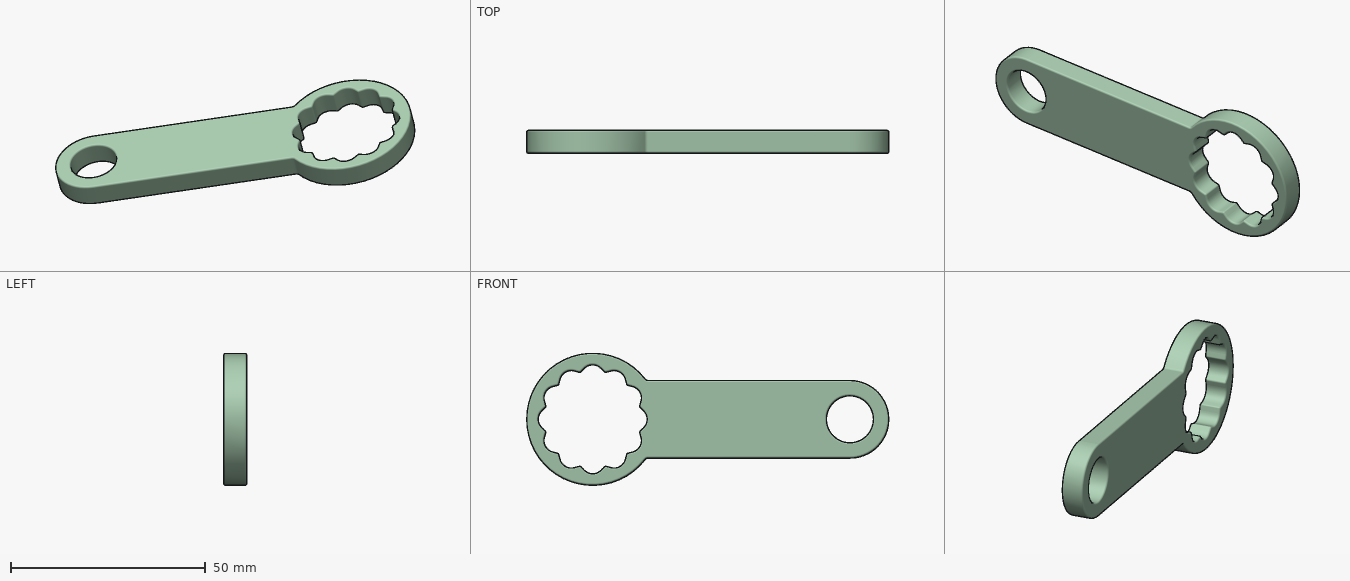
import cadquery as cq
import math

length = 93.1
thickness = 6.0
head_diameter = 34.0
handle_width = 20.0
edge_fillet = 0.5
neck_fillet = 1.0

square_count = 3
socket_tip_radius = 14.0
socket_corner_radius = 3.0
socket_ridge_radius = 0.5

hanging_hole_diameter = 12.0

handle_end_x = length - head_diameter / 2 - handle_width / 2

sharp_corner_radius = socket_tip_radius + (math.sqrt(2) - 1) * socket_corner_radius
socket_square_side = sharp_corner_radius * math.sqrt(2)

point_step = 90 / square_count
ridge_to_side_normal = math.radians(45 - point_step / 2)
sharp_ridge_radius = socket_square_side / 2 / math.cos(ridge_to_side_normal)
ridge_selection_margin = 0.1


def extruded(sketch):
    """Extrude a sketch drawn on the XZ plane, with the thickness centred on Y = 0."""
    return sketch.extrude(thickness / 2, both=True)


def make_body():
    """Round head joined to a straight handle with a full-round end."""
    head = extruded(cq.Workplane("XZ").circle(head_diameter / 2))
    handle = extruded(cq.Workplane("XZ").center(handle_end_x / 2, 0).rect(handle_end_x, handle_width))
    round_end = extruded(cq.Workplane("XZ").center(handle_end_x, 0).circle(handle_width / 2))
    body = head.union(handle).union(round_end)

    neck_x = math.sqrt((head_diameter / 2) ** 2 - (handle_width / 2) ** 2)
    for side in (1, -1):
        neck_corner = cq.selectors.NearestToPointSelector((neck_x, 0, side * handle_width / 2))
        body = body.edges("|Y").edges(neck_corner).fillet(neck_fillet)
    return body


def make_socket():
    """Three round-cornered squares, turned evenly so that one of the twelve points lies on +X."""
    square = extruded(cq.Workplane("XZ").rect(socket_square_side, socket_square_side))
    square = square.edges("|Y").fillet(socket_corner_radius)
    socket = cq.Workplane("XZ")
    for index in range(square_count):
        angle = 45 + index * point_step
        socket = socket.add(square.rotate((0, 0, 0), (0, 1, 0), angle))
    socket = socket.combine()

    def is_ridge(edge):
        return math.hypot(edge.Center().x, edge.Center().z) < sharp_ridge_radius + ridge_selection_margin

    return socket.edges("|Y").filter(is_ridge).fillet(socket_ridge_radius)


def make_hanging_hole():
    return extruded(cq.Workplane("XZ").center(handle_end_x, 0).circle(hanging_hole_diameter / 2))


wrench = make_body().cut(make_socket()).cut(make_hanging_hole())

result = wrench.faces("<Y or >Y").fillet(edge_fillet)